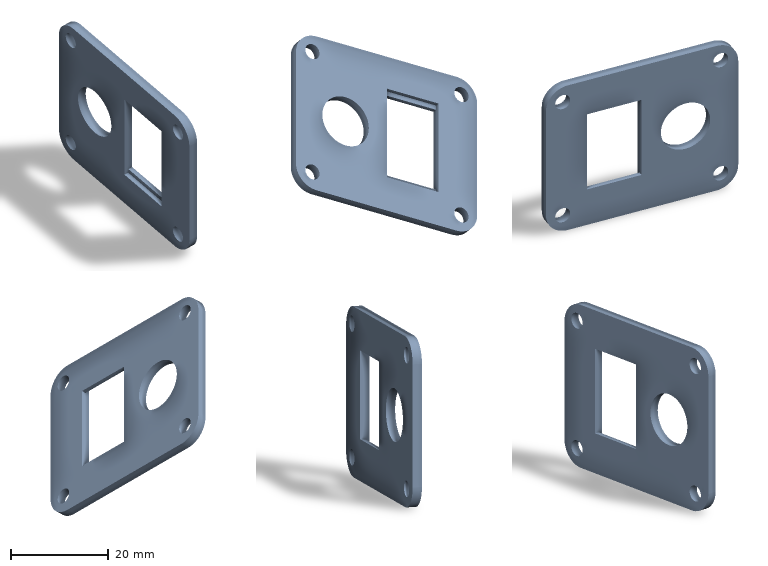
import cadquery as cq

width = 43.8
height = 35.8
thickness = 2.0
corner_radius = 5.0

hole_z = 0.1

mount_diameter = 3.4
mount_spacing_x = 36.0
mount_spacing_z = 28.0
mount_x = 0.1

round_diameter = 11.2
round_x = -9.9

window_width = 12.5
window_height = 20.6
window_x = 6.35
window_z = 0.18
ledge_height = 1.0
recess_depth = thickness / 2

front_y = -thickness / 2
clear_height = window_height - 2 * ledge_height


def front_plane():
    """Workplane on the front face, normal to -Y."""
    return cq.Workplane("XZ", origin=(0, front_y, 0))


def make_plate():
    blank = front_plane().rect(width, height).extrude(-thickness)
    return blank.edges("|Y").fillet(corner_radius)


def mounting_holes():
    centre = front_plane().center(mount_x, hole_z)
    pattern = centre.rect(mount_spacing_x, mount_spacing_z, forConstruction=True)
    return pattern.vertices().circle(mount_diameter / 2).extrude(-thickness)


def round_opening():
    return front_plane().center(round_x, hole_z).circle(round_diameter / 2).extrude(-thickness)


def window():
    through = front_plane().center(window_x, window_z).rect(window_width, clear_height).extrude(-thickness)
    recess = front_plane().center(window_x, window_z).rect(window_width, window_height).extrude(-recess_depth)
    return through.union(recess)


result = make_plate().cut(mounting_holes()).cut(round_opening()).cut(window())